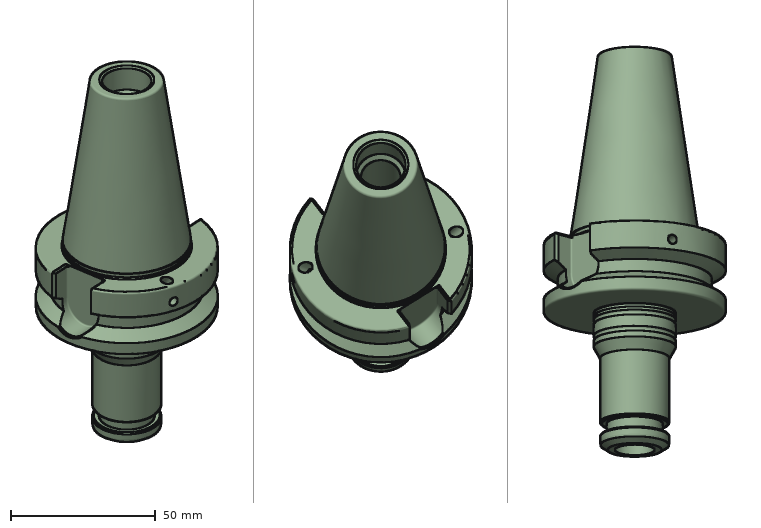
import cadquery as cq
import math

total_height = 140.9
gauge_z = 76.0
flange_top_z = 73.8
rim_bottom_z = 64.0
vee_top_z = 61.2
vee_bottom_z = 56.8
lower_rim_top_z = 53.5
flange_bottom_z = 48.8
collar_bottom_z = 36.8
shank_top_z = 32.7
shank_bottom_z = 9.3
knob_top_z = 5.4
knob_round_z = 2.5
knob_cone_z = 1.7

flange_radius = 63.0 / 2
vee_radius = 26.6
taper_radius = 22.3
neck_radius = 22.0
collar_radius = 28.5 / 2
shank_radius = 24.0 / 2
knob_neck_radius = 19.5 / 2
knob_round_radius = 11.8
end_radius = 9.3

taper_ratio = 7 / 24

edge_round = 0.8
neck_flare = 0.5
shank_chamfer = 0.5

taper_top_radius = taper_radius - (total_height - edge_round - gauge_z) * taper_ratio / 2

collar_grooves = [(48.0, 1.1, 0.21), (45.5, 1.7, 0.4), (39.7, 1.7, 0.4)]

bore_diameter = 13.8
counterbore_diameter = 17.0
mouth_chamfer_width = 1.0
mouth_chamfer_depth = 0.5
counterbore_depth = 9.2
floor_cone_angle = 90.0

slot_angles = [0.0, 180.0]
slot_width = 16.0
slot_floor_y = 22.7
slot_center_z = 60.3
slot_floor_fillet = 0.5
slot_chamfer = 0.7
lip_chamfer = 0.5
rim_chamfer_depth = 1.3

sloped_hole_diameter = 4.0
sloped_hole_mouth_radius = 26.9
sloped_hole_tilt = 37.0
side_hole_diameter = 3.2
side_hole_z = 67.6
hole_angles = [160.0, 340.0]


def round_corner(profile, start, corner, end):
    """Draw to the start of a square corner and round the corner off with an arc up to its end."""
    inset = 1 - math.sqrt(0.5)
    middle = (
        corner[0] + inset * (start[0] + end[0] - 2 * corner[0]),
        corner[1] + inset * (start[1] + end[1] - 2 * corner[1]),
    )
    return profile.lineTo(*start).threePointArc(middle, end)


def make_body():
    """Revolve the outer profile about Z, working up from the bottom end."""
    profile = (
        cq.Workplane("XZ")
        .lineTo(end_radius, 0)
        .lineTo(knob_round_radius, knob_cone_z)
        .lineTo(shank_radius, knob_round_z)
        .lineTo(shank_radius, knob_top_z - shank_chamfer)
        .lineTo(shank_radius - shank_chamfer, knob_top_z)
        .lineTo(knob_neck_radius, knob_top_z)
        .lineTo(knob_neck_radius, shank_bottom_z)
        .lineTo(shank_radius - shank_chamfer, shank_bottom_z)
        .lineTo(shank_radius, shank_bottom_z + shank_chamfer)
        .lineTo(shank_radius, shank_top_z)
        .lineTo(collar_radius, collar_bottom_z)
    )
    for middle_z, width, depth in reversed(collar_grooves):
        profile = profile.lineTo(collar_radius, middle_z - width / 2).threePointArc(
            (collar_radius - depth, middle_z), (collar_radius, middle_z + width / 2)
        )
    profile = profile.lineTo(collar_radius, flange_bottom_z)
    profile = round_corner(
        profile,
        (flange_radius - edge_round, flange_bottom_z),
        (flange_radius, flange_bottom_z),
        (flange_radius, flange_bottom_z + edge_round),
    )
    profile = (
        profile.lineTo(flange_radius, lower_rim_top_z)
        .lineTo(vee_radius, vee_bottom_z)
        .lineTo(vee_radius, vee_top_z)
        .lineTo(flange_radius, rim_bottom_z)
    )
    profile = round_corner(
        profile,
        (flange_radius, flange_top_z - edge_round),
        (flange_radius, flange_top_z),
        (flange_radius - edge_round, flange_top_z),
    )
    profile = (
        profile.lineTo(neck_radius + neck_flare, flange_top_z)
        .lineTo(neck_radius, flange_top_z + neck_flare)
        .lineTo(neck_radius, gauge_z)
        .lineTo(taper_radius, gauge_z)
    )
    profile = round_corner(
        profile,
        (taper_top_radius, total_height - edge_round),
        (taper_top_radius, total_height),
        (taper_top_radius - edge_round, total_height),
    )
    profile = profile.lineTo(0, total_height).close()
    return profile.revolve(360, (0, 0, 0), (0, 1, 0))


def make_bore():
    """Through bore with a cone-floored counterbore and a chamfered mouth at the taper end."""
    bore_radius = bore_diameter / 2
    counterbore_radius = counterbore_diameter / 2
    floor_z = total_height - counterbore_depth
    cone_depth = (counterbore_radius - bore_radius) / math.tan(math.radians(floor_cone_angle / 2))
    return (
        cq.Workplane("XZ")
        .lineTo(bore_radius, 0)
        .lineTo(bore_radius, floor_z - cone_depth)
        .lineTo(counterbore_radius, floor_z)
        .lineTo(counterbore_radius, total_height - mouth_chamfer_depth)
        .lineTo(counterbore_radius + mouth_chamfer_width, total_height)
        .lineTo(0, total_height)
        .close()
        .revolve(360, (0, 0, 0), (0, 1, 0))
    )


def make_slot():
    """Round-bottomed slot on the -Y side, with a fillet around its floor."""
    half_width = slot_width / 2
    return (
        cq.Workplane("XZ", origin=(0, -slot_floor_y, 0))
        .moveTo(-half_width, slot_center_z)
        .threePointArc((0, slot_center_z - half_width), (half_width, slot_center_z))
        .lineTo(half_width, total_height)
        .lineTo(-half_width, total_height)
        .close()
        .extrude(flange_radius)
        .faces(">Y")
        .edges("not >Z")
        .fillet(slot_floor_fillet)
    )


def chamfer_slot_lips(body):
    """Break the edges where the rounded slot bottoms run out through the lower rim."""
    half_width = slot_width / 2
    slot_bottom_z = slot_center_z - half_width
    for lip_y in (-flange_radius, flange_radius):
        lip = cq.selectors.NearestToPointSelector((0, lip_y, slot_bottom_z))
        body = body.edges(lip).chamfer(lip_chamfer)
    return body


def make_slot_flare():
    """Wedges that break the slot edges along the flange top and up the outside of the upper rim."""
    half_width = slot_width / 2
    flare_half_width = half_width + slot_chamfer
    rim_corner_y = math.sqrt(flange_radius**2 - flare_half_width**2)
    top_flare = (
        cq.Workplane("XZ", origin=(0, -slot_floor_y, 0))
        .moveTo(-flare_half_width, flange_top_z)
        .lineTo(flare_half_width, flange_top_z)
        .lineTo(half_width, flange_top_z - slot_chamfer)
        .lineTo(-half_width, flange_top_z - slot_chamfer)
        .close()
        .extrude(flange_radius - slot_floor_y)
    )
    outer_flare = (
        cq.Workplane("XY", origin=(0, 0, vee_top_z))
        .moveTo(-half_width, rim_chamfer_depth - rim_corner_y)
        .lineTo(half_width, rim_chamfer_depth - rim_corner_y)
        .lineTo(flare_half_width, -rim_corner_y)
        .lineTo(flare_half_width, -flange_radius)
        .lineTo(-flare_half_width, -flange_radius)
        .lineTo(-flare_half_width, -rim_corner_y)
        .close()
        .extrude(flange_top_z - vee_top_z)
    )
    return top_flare.union(outer_flare)


def make_hole_pair(angle):
    """Sloped hole from the flange top running down into a radial hole from the rim."""
    tilt = math.radians(sloped_hole_tilt)
    drop = flange_top_z - side_hole_z
    meeting_radius = sloped_hole_mouth_radius - drop * math.tan(tilt)
    downward = cq.Vector(-math.sin(tilt), 0, -math.cos(tilt))
    mouth = cq.Vector(sloped_hole_mouth_radius, 0, flange_top_z)
    overrun = sloped_hole_diameter
    sloped_hole = cq.Workplane(
        cq.Solid.makeCylinder(
            sloped_hole_diameter / 2,
            drop / math.cos(tilt) + overrun,
            mouth - downward * overrun,
            downward,
        )
    )
    side_hole = (
        cq.Workplane("YZ", origin=(meeting_radius, 0, side_hole_z))
        .circle(side_hole_diameter / 2)
        .extrude(flange_radius - meeting_radius)
    )
    return sloped_hole.union(side_hole).rotate((0, 0, 0), (0, 0, 1), angle)


result = make_body().cut(make_bore())

for slot_angle in slot_angles:
    result = result.cut(make_slot().rotate((0, 0, 0), (0, 0, 1), slot_angle))

result = chamfer_slot_lips(result)

for slot_angle in slot_angles:
    result = result.cut(make_slot_flare().rotate((0, 0, 0), (0, 0, 1), slot_angle))

for hole_angle in hole_angles:
    result = result.cut(make_hole_pair(hole_angle))